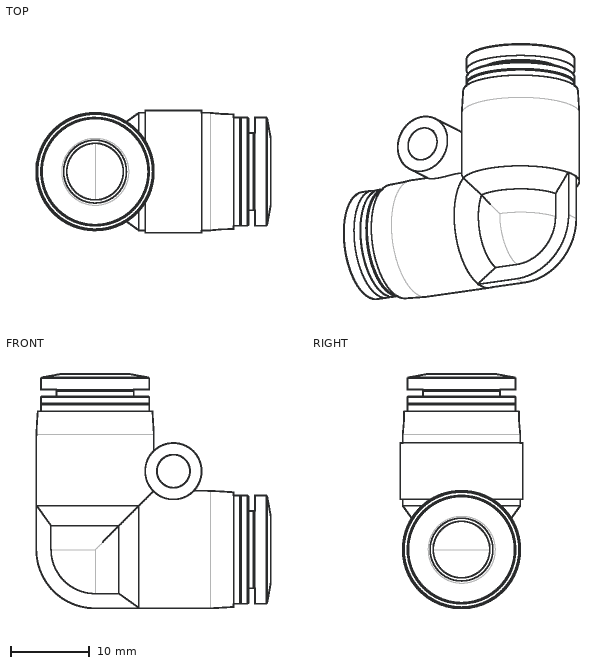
import cadquery as cq

overall_size = 29.9
width = 15.6

body_radius = 15.0 / 2
neck_radius = 5.7
neck_end = 3.05
flare_end = 5.6
taper_start = 14.68
body_end = 17.65
body_end_radius = 7.33
web_thickness = 2.1

port_end = overall_size - body_radius
collar_radius = 13.8 / 2
groove_start = 18.45
groove_width = 0.18
groove_depth = 0.1
ring_end = 19.55
ring_chamfer = 0.15
stem_radius = 4.93
stem_root_start = 20.18
stem_root_radius = 9.8 / 2
collar_start = 20.35
collar_rim = 21.8
collar_edge = 0.15
mouth_radius = 4.28

channel_radius = 7.2 / 2
tube_radius = 8.0 / 2
tube_stop = 5.6
mouth_round = mouth_radius - tube_radius

eye_center = 10.0
eye_radius = 7.2 / 2
eye_hole_radius = 4.2 / 2


def revolve_z(profile):
    """Revolve a closed (radius, height) outline about the Z axis."""
    return profile.revolve(360, (0, 0, 0), (0, 1, 0))


def on_both_ports(vertical):
    """Join a +Z solid of revolution with its copy along +X."""
    horizontal = vertical.rotate((0, 0, 0), (0, 1, 0), 90)
    return vertical.union(horizontal)


def make_port():
    """Outside of one arm, from the elbow center to the collar face."""
    points = [
        (0, 0),
        (neck_radius, 0),
        (neck_radius, neck_end),
        (body_radius, flare_end),
        (body_radius, taper_start),
        (body_end_radius, body_end),
        (collar_radius, body_end),
        (collar_radius, groove_start),
        (collar_radius - groove_depth, groove_start + groove_width / 2),
        (collar_radius, groove_start + groove_width),
        (collar_radius, ring_end - ring_chamfer),
        (collar_radius - ring_chamfer, ring_end),
        (stem_radius, ring_end),
        (stem_radius, stem_root_start),
        (stem_root_radius, stem_root_start),
        (stem_root_radius, collar_start),
        (collar_radius, collar_start),
        (collar_radius, collar_rim),
        (collar_radius - collar_edge, collar_rim + collar_edge),
        (mouth_radius, port_end),
        (0, port_end),
    ]
    return revolve_z(cq.Workplane("XZ").polyline(points).close())


def make_bore():
    """Flow channel, tube socket and rounded mouth of one arm."""
    arc_offset = mouth_round * (1 - 0.5 ** 0.5)
    profile = (
        cq.Workplane("XZ")
        .lineTo(channel_radius, 0)
        .lineTo(channel_radius, tube_stop)
        .lineTo(tube_radius, tube_stop)
        .lineTo(tube_radius, port_end - mouth_round)
        .threePointArc(
            (tube_radius + arc_offset, port_end - arc_offset),
            (mouth_radius, port_end),
        )
        .lineTo(0, port_end)
        .close()
    )
    return revolve_z(profile)


def make_web():
    """Flat rib that follows the outside of the elbow at full body radius."""
    corner = body_radius * 0.5 ** 0.5
    outline = (
        cq.Workplane("XZ")
        .moveTo(0, flare_end)
        .lineTo(-body_radius, flare_end)
        .lineTo(-body_radius, 0)
        .threePointArc((-corner, -corner), (0, -body_radius))
        .lineTo(flare_end, -body_radius)
        .lineTo(flare_end, 0)
        .lineTo(0, 0)
        .close()
    )
    return outline.extrude(web_thickness / 2, both=True)


def make_eye(radius):
    """Cylinder along Y across the full width, on the eye axis."""
    circle = cq.Workplane("XZ").center(eye_center, eye_center).circle(radius)
    return circle.extrude(width / 2, both=True)


outside = (
    on_both_ports(make_port())
    .union(cq.Workplane("XY").sphere(neck_radius))
    .union(make_web())
    .union(make_eye(eye_radius))
)
passage = on_both_ports(make_bore()).union(cq.Workplane("XY").sphere(channel_radius))

result = outside.cut(passage).cut(make_eye(eye_hole_radius))